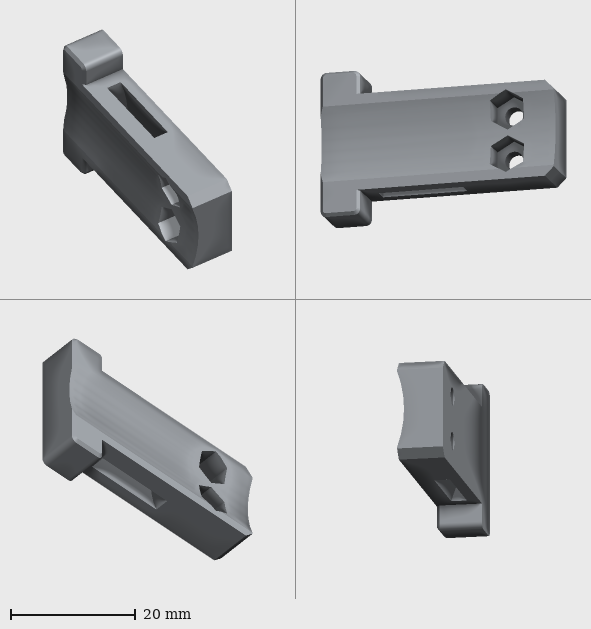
import cadquery as cq
import math

length = 39.0
depth = 7.5
body_height = 16.0

head_length = 6.6
head_height = 24.0
head_corner_radius = 1.0
head_front_chamfer = 0.5

end_chamfer = 1.5

groove_width = 12.55
groove_depth = 1.15
groove_radius = ((groove_width / 2) ** 2 + groove_depth**2) / (2 * groove_depth)
groove_axis_y = groove_depth - groove_radius

slot_start = 9.0
slot_length = 14.05
slot_front_y = 4.5
slot_mouth_back_y = 5.5
slot_inner_radius = slot_front_y - groove_axis_y
slot_outer_radius = math.hypot(slot_mouth_back_y - groove_axis_y, body_height / 2)

screw_x = 31.0
screw_spacing = 7.37
screw_diameter = 3.0
nut_across_flats = 5.55
nut_floor_y = 5.0


def make_head():
    head = cq.Workplane("XY").box(head_length, depth, head_height, centered=(False, False, True))
    head = head.edges("|Y").fillet(head_corner_radius)
    return head.faces("<Y").chamfer(head_front_chamfer)


def make_body():
    body = (
        cq.Workplane("XY", origin=(head_front_chamfer, 0, 0))
        .box(length - head_front_chamfer, depth, body_height, centered=(False, False, True))
    )
    return body.edges(">X and |Y").chamfer(end_chamfer)


def groove_coaxial_cylinder(radius, start, span):
    return cq.Workplane("YZ", origin=(start, groove_axis_y, 0)).circle(radius).extrude(span)


def make_strap_slot():
    outer = groove_coaxial_cylinder(slot_outer_radius, slot_start, slot_length)
    inner = groove_coaxial_cylinder(slot_inner_radius, slot_start, slot_length)
    body_envelope = cq.Workplane("XY").box(length, depth, body_height, centered=(False, False, True))
    return outer.cut(inner).intersect(body_envelope)


def make_screw_cut(z):
    front = cq.Workplane("XZ", origin=(screw_x, 0, z))
    hole = front.circle(screw_diameter / 2).extrude(-depth)
    nut_across_corners = nut_across_flats / math.cos(math.pi / 6)
    pocket = (
        front.transformed(rotate=(0, 0, 90))
        .polygon(6, nut_across_corners)
        .extrude(-nut_floor_y)
    )
    return hole.union(pocket)


result = make_head().union(make_body())
result = result.cut(groove_coaxial_cylinder(groove_radius, 0, length))
result = result.cut(make_strap_slot())
for side in (-1, 1):
    result = result.cut(make_screw_cut(side * screw_spacing / 2))